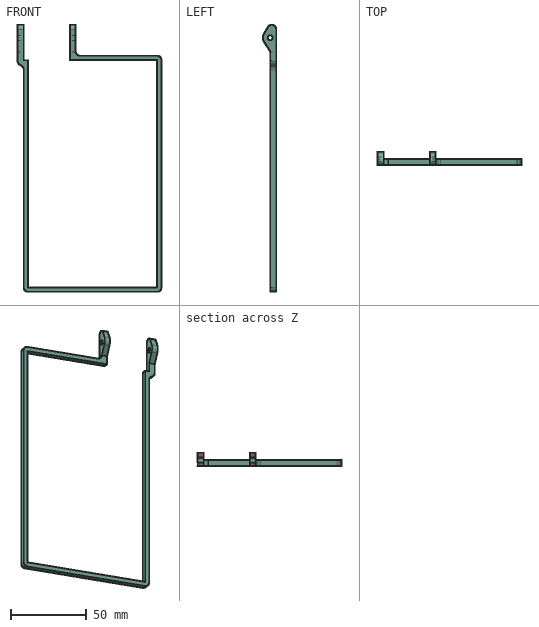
import cadquery as cq
import math

width = 95.5
height = 177.2
bar = 3.0
depth = 4.0
bend_radius = 3.0

left_tab_width = 4.3
right_tab_width = 3.9
right_tab_x = 34.7
rail_x = 4.0
shelf_z = 153.7
bend_start_z = 153.1

tip_radius = 3.0
lobe_radius = 5.0
pin_diameter = 3.2
tab_depth = 9.0
pin_y = tab_depth - lobe_radius
pin_z = 168.5
neck_z = 159.3


def arc_point(center, radius, angle):
    """Point on a circle at an angle in radians."""
    return (center[0] + radius * math.cos(angle), center[1] + radius * math.sin(angle))


def make_frame():
    """Open frame, including both tab stems, extruded along +Y."""
    upper_x = bend_radius
    lower_x = rail_x - bend_radius
    bend_drop = math.sqrt((2 * bend_radius) ** 2 - (upper_x - lower_x) ** 2)
    bend_end_z = bend_start_z - bend_drop
    sweep = math.asin(bend_drop / (2 * bend_radius))
    upper_center = (upper_x, bend_start_z)
    lower_center = (lower_x, bend_end_z)
    bend_middle = (rail_x / 2, bend_start_z - bend_drop / 2)

    outline = (
        cq.Workplane("XZ")
        .moveTo(0, height)
        .lineTo(0, bend_start_z)
        .threePointArc(arc_point(upper_center, bend_radius, math.pi + sweep / 2), bend_middle)
        .threePointArc(arc_point(lower_center, bend_radius, sweep / 2), (rail_x, bend_end_z))
        .lineTo(rail_x, 0)
        .lineTo(width, 0)
        .lineTo(width, shelf_z + bar)
        .lineTo(right_tab_x + right_tab_width, shelf_z + bar)
        .lineTo(right_tab_x + right_tab_width, height)
        .lineTo(right_tab_x, height)
        .lineTo(right_tab_x, shelf_z)
        .lineTo(width - bar, shelf_z)
        .lineTo(width - bar, bar)
        .lineTo(rail_x + bar, bar)
        .lineTo(rail_x + bar, shelf_z)
        .lineTo(left_tab_width, shelf_z)
        .lineTo(left_tab_width, height)
        .close()
    )
    frame = outline.extrude(-depth)
    rounded_corners = [
        (rail_x, 0),
        (width, 0),
        (width, shelf_z + bar),
        (right_tab_x + right_tab_width, shelf_z + bar),
    ]
    for x, z in rounded_corners:
        corner = cq.selectors.NearestToPointSelector((x, depth / 2, z))
        frame = frame.edges(corner).fillet(bend_radius)
    return frame


def make_hinge_tab(x, tab_width):
    """Pointed hinge lobe with a rounded tip, from the neck to the top."""
    pin = (pin_y, pin_z)
    tip = (tip_radius, height - tip_radius)
    center_distance = math.dist(pin, tip)
    center_angle = math.atan2(tip[1] - pin[1], tip[0] - pin[0])
    upper_angle = center_angle - math.acos((lobe_radius - tip_radius) / center_distance)
    neck = (depth, neck_z)
    neck_angle = math.atan2(neck[1] - pin[1], neck[0] - pin[0])
    lower_angle = neck_angle + math.acos(lobe_radius / math.dist(pin, neck))

    profile = (
        cq.Workplane("YZ", origin=(x, 0, 0))
        .moveTo(0, neck_z)
        .lineTo(*neck)
        .lineTo(*arc_point(pin, lobe_radius, lower_angle))
        .threePointArc((tab_depth, pin_z), arc_point(pin, lobe_radius, upper_angle))
        .lineTo(*arc_point(tip, tip_radius, upper_angle))
        .threePointArc((tip[0], height), (0, tip[1]))
        .close()
    )
    pin_hole = cq.Workplane("YZ", origin=(x, pin_y, pin_z)).circle(pin_diameter / 2).extrude(tab_width)
    return profile.extrude(tab_width).cut(pin_hole)


above_neck = cq.Workplane("XY", origin=(0, 0, neck_z)).rect(2 * width, 2 * width).extrude(height)
result = make_frame().cut(above_neck)
for tab_x, tab_width in [(0, left_tab_width), (right_tab_x, right_tab_width)]:
    result = result.union(make_hinge_tab(tab_x, tab_width))
result = result.clean()